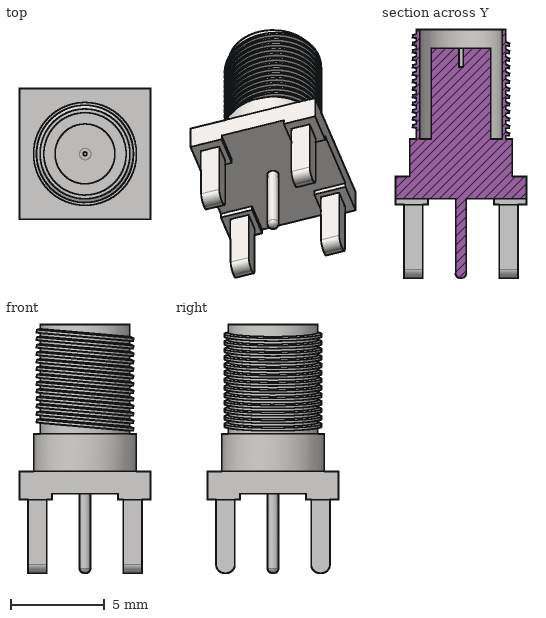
import cadquery as cq

base_side = 7.0
base_height = 1.5
relief_width = 3.5
relief_depth = 0.3

total_height = 13.29
collar_diameter = 5.5
collar_height = 2.0
barrel_diameter = 4.8
barrel_bore_diameter = 4.4
barrel_height = 5.85
collar_top = base_height + collar_height
barrel_top = collar_top + barrel_height

leg_width = 1.02
leg_pitch = 5.08
leg_length = total_height - barrel_top
leg_tip_radius = 0.48

insulator_diameter = 3.2
insulator_drop = 1.0
insulator_top = barrel_top - insulator_drop
contact_diameter = 0.61
contact_tip_radius = 0.28
contact_hole_diameter = 0.2
contact_hole_depth = 1.0

ridge_count = 13
ridge_pitch = 0.4
ridge_diameter = 5.2
ridge_tilt = 5.0
ridge_crest_width = 0.15
ridge_upper_flank = 0.07
ridge_lower_flank = 0.02
ridge_embed = 0.1
top_ridge_drop = 0.56


def cylinder(diameter, bottom, top):
    return cq.Workplane("XY").workplane(offset=bottom).circle(diameter / 2).extrude(top - bottom)


def make_base():
    """Square plate with two crossing relief channels that leave four corner pads."""
    plate = cq.Workplane("XY").rect(base_side, base_side).extrude(base_height)
    channel_x = cq.Workplane("XY").rect(base_side, relief_width).extrude(relief_depth)
    channel_y = cq.Workplane("XY").rect(relief_width, base_side).extrude(relief_depth)
    return plate.cut(channel_x).cut(channel_y)


def make_legs():
    """Four square legs, rounded at the tip about the X direction."""
    return (
        cq.Workplane("XY")
        .rarray(leg_pitch, leg_pitch, 2, 2)
        .rect(leg_width, leg_width)
        .extrude(-leg_length)
        .faces("<Z")
        .edges("|X")
        .fillet(leg_tip_radius)
    )


def make_ridge(height):
    """One tilted ring with a cylindrical crest; its flanks continue straight into the barrel wall."""
    barrel_radius = barrel_diameter / 2
    crest_radius = ridge_diameter / 2
    inner_radius = barrel_radius - ridge_embed
    flank_extension = (crest_radius - inner_radius) / (crest_radius - barrel_radius)
    crest_bottom = ridge_lower_flank - (ridge_lower_flank + ridge_crest_width + ridge_upper_flank) / 2
    crest_top = crest_bottom + ridge_crest_width
    profile = [
        (inner_radius, crest_bottom - ridge_lower_flank * flank_extension),
        (crest_radius, crest_bottom),
        (crest_radius, crest_top),
        (inner_radius, crest_top + ridge_upper_flank * flank_extension),
    ]
    ring = cq.Workplane("XZ").polyline(profile).close().revolve(360, (0, 0, 0), (0, 1, 0))
    return ring.rotate((0, 0, 0), (0, 1, 0), ridge_tilt).translate((0, 0, height))


def make_barrel():
    """Collar with the ridged barrel on top; the bore ends at the top of the collar."""
    tube = cylinder(barrel_diameter, collar_top, barrel_top)
    barrel = tube.cut(cylinder(barrel_bore_diameter, collar_top, barrel_top))
    for index in range(ridge_count):
        barrel = barrel.union(make_ridge(barrel_top - top_ridge_drop - index * ridge_pitch))
    return barrel.union(cylinder(collar_diameter, base_height, collar_top))


def make_contact():
    """Centre pin with a rounded lower tip, flush with the insulator at its upper end."""
    pin = cylinder(contact_diameter, -leg_length, insulator_top)
    return pin.faces("<Z").edges().fillet(contact_tip_radius)


insulator = cylinder(insulator_diameter, collar_top, insulator_top)
contact_hole = cylinder(contact_hole_diameter, insulator_top - contact_hole_depth, insulator_top)
housing = make_base().union(make_legs()).union(make_barrel()).union(insulator)

result = housing.union(make_contact(), clean=False).cut(contact_hole, clean=False)